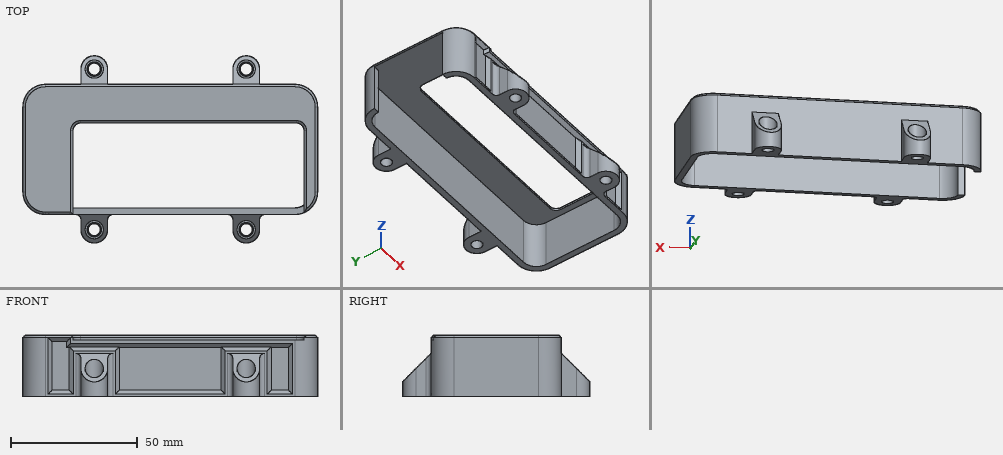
import cadquery as cq

length = 116.5
width = 51.5
height = 24.32
corner_radius = 9.0
wall = 2.7
top_thickness = 2.0
top_chamfer = 1.0
inner_radius = corner_radius - wall
top_underside = height - top_thickness
front_y = -width / 2

window_left = -38.35
window_right = 52.8
window_back = 10.4
window_corner_radius = 3.0
window_chamfer = 1.0

ear_spacing_x = 60.0
ear_radius = 5.3
overall_width = 74.01
ear_y = overall_width / 2 - ear_radius
ear_slope_top = 17.1
ear_root_fillet = 2.0
shank_bottom_diameter = 4.7
shank_top_diameter = 5.7
head_diameter = 7.2
head_seat_z = 5.0
ear_xs = [-ear_spacing_x / 2, ear_spacing_x / 2]

frame_border = 1.0
rail_height = 1.3
recess_depth = 1.6
recess_half_length = length / 2 - corner_radius - frame_border
recess_high_top = height - top_chamfer
recess_low_top = top_underside - rail_height
recess_step_x = window_left - window_chamfer
pad_half_width = ear_radius + ear_root_fillet + frame_border
pad_top = ear_slope_top + frame_border


def make_shell():
    """Rounded box with a chamfered top edge, hollow and open at the bottom."""
    outer = (
        cq.Workplane("XY")
        .rect(length, width)
        .extrude(height)
        .edges("|Z")
        .fillet(corner_radius)
        .faces(">Z")
        .chamfer(top_chamfer)
    )
    cavity = (
        cq.Workplane("XY")
        .rect(length - 2 * wall, width - 2 * wall)
        .extrude(top_underside)
        .edges("|Z")
        .fillet(inner_radius)
    )
    return outer.cut(cavity)


def make_side_opening():
    """Opening in the left wall, as wide as the straight part of that wall."""
    opening_width = width - 2 * corner_radius
    opening_depth = 2 * wall
    return (
        cq.Workplane("XY")
        .center((wall - length) / 2, 0)
        .rect(opening_depth, opening_width)
        .extrude(top_underside)
    )


def make_window():
    """Window with a chamfered upper rim, running out through the front edge."""
    rim_start = height - window_chamfer
    opening = window_outline(top_underside).extrude(top_thickness)
    rim = window_outline(rim_start).extrude(window_chamfer, taper=-45)
    return opening.union(rim)


def window_outline(z):
    """Window outline at height z, with its two back corners rounded."""
    run_out_y = front_y - 2 * window_chamfer
    arc_y = window_back - window_corner_radius
    arc_left = window_left + window_corner_radius
    arc_right = window_right - window_corner_radius
    return (
        cq.Workplane("XY", origin=(0, 0, z))
        .moveTo(window_left, run_out_y)
        .lineTo(window_left, arc_y)
        .radiusArc((arc_left, window_back), window_corner_radius)
        .lineTo(arc_right, window_back)
        .radiusArc((window_right, arc_y), window_corner_radius)
        .lineTo(window_right, run_out_y)
        .close()
    )


def make_ear(x, side):
    """Screw ear with a 45 degree top; side is +1 at the back, -1 at the front."""
    wall_y = side * width / 2
    root_y = side * (width / 2 - wall / 2)
    tip_y = side * overall_width / 2
    tip_z = ear_slope_top - (overall_width - width) / 2
    outline = (
        cq.Workplane("XY")
        .moveTo(x - ear_radius, root_y)
        .lineTo(x - ear_radius, side * ear_y)
        .threePointArc((x, tip_y), (x + ear_radius, side * ear_y))
        .lineTo(x + ear_radius, root_y)
        .close()
        .extrude(height)
    )
    if side < 0:
        for hand in (-1, 1):
            outline = outline.union(make_root_fillet(x, hand))
    profile = [
        (root_y, 0),
        (tip_y, 0),
        (tip_y, tip_z),
        (wall_y, ear_slope_top),
        (root_y, ear_slope_top),
    ]
    wedge = (
        cq.Workplane("YZ", origin=(x, 0, 0))
        .polyline(profile)
        .close()
        .extrude(pad_half_width, both=True)
    )
    return outline.intersect(wedge)


def make_root_fillet(x, hand):
    """Concave fillet between the front wall and one flank of a front ear."""
    flank_x = x + hand * ear_radius
    block = (
        cq.Workplane("XY")
        .center(flank_x + hand * ear_root_fillet / 2, front_y - ear_root_fillet / 2)
        .rect(ear_root_fillet, ear_root_fillet)
        .extrude(height)
    )
    scoop = (
        cq.Workplane("XY")
        .center(flank_x + hand * ear_root_fillet, front_y - ear_root_fillet)
        .circle(ear_root_fillet)
        .extrude(height)
    )
    return block.cut(scoop)


def make_screw_hole(x, side):
    """Vertical screw hole: a tapered shank hole below a flat-bottomed head bore."""
    center = (x, side * ear_y)
    shank = (
        cq.Workplane("XY")
        .center(*center)
        .circle(shank_bottom_diameter / 2)
        .workplane(offset=head_seat_z)
        .circle(shank_top_diameter / 2)
        .loft(ruled=True)
    )
    head = (
        cq.Workplane("XY", origin=(0, 0, head_seat_z))
        .center(*center)
        .circle(head_diameter / 2)
        .extrude(height - head_seat_z)
    )
    return shank.union(head)


def make_front_recess():
    """Bevelled recess of the front wall, leaving a raised pad behind each ear."""
    corner_part = make_bevelled_pocket(recess_step_x, recess_high_top)
    long_part = make_bevelled_pocket(recess_half_length, recess_low_top)
    recess = corner_part.union(long_part)
    for x in ear_xs:
        recess = recess.cut(make_pad(x))
    return recess


def make_bevelled_pocket(right_x, top_z):
    """Rectangular pocket from the lower left of the front wall with 45 degree sides."""
    left_x = -recess_half_length
    return (
        cq.Workplane("XZ", origin=(0, front_y, 0))
        .center((left_x + right_x) / 2, (frame_border + top_z) / 2)
        .rect(right_x - left_x, top_z - frame_border)
        .extrude(-recess_depth, taper=45)
    )


def make_pad(x):
    """Raised pad that widens at 45 degrees from the wall face to the recess floor."""
    base_half_width = pad_half_width + recess_depth
    return (
        cq.Workplane("XY")
        .center(x, front_y + wall / 2)
        .rect(2 * base_half_width, wall)
        .extrude(pad_top + recess_depth)
        .faces("<Y")
        .edges("not <Z")
        .chamfer(recess_depth)
    )


result = make_shell()
result = result.cut(make_side_opening())
result = result.cut(make_window())
result = result.cut(make_front_recess())
for side in (-1, 1):
    for x in ear_xs:
        result = result.union(make_ear(x, side))
        result = result.cut(make_screw_hole(x, side))